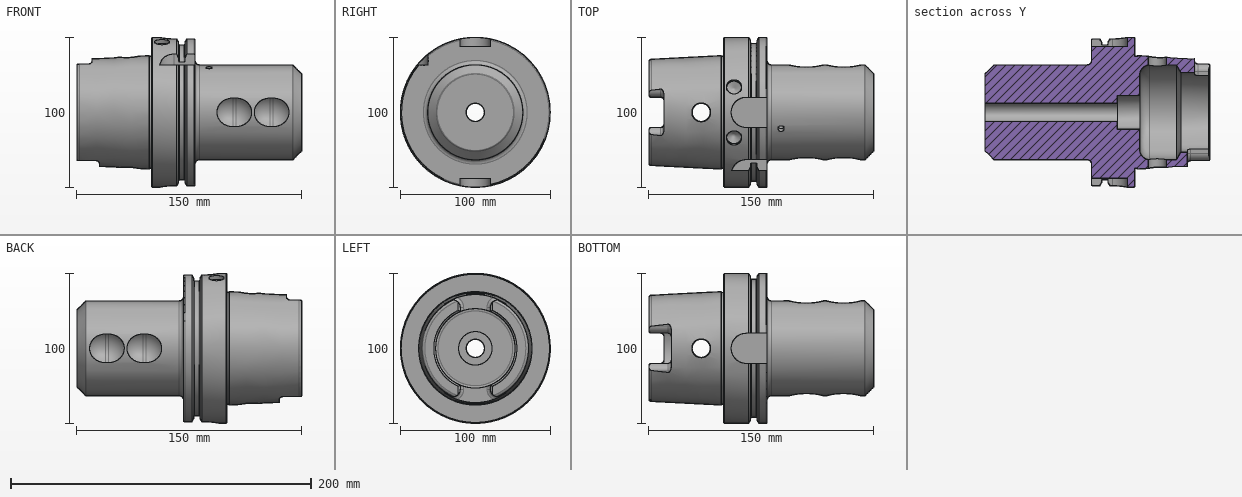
import cadquery as cq
import math


shank_length = 50.0
nose_length = 150 - shank_length
flange_width = 29.0

flange_radius = 100.0 / 2
flange_face_chamfer = 0.6
flange_rear_fillet = 0.9
groove_start = 16.6
groove_end = 23.4
groove_bevel_width = 1.4
groove_bevel_depth = 2.2
groove_radius = 46.0
groove_floor_fillet = 0.5

taper_radius = 75.8 / 2
taper_slope = 1 / 20
shank_end_fillet = 1.8
relief_width = 1.8
relief_depth = 0.5

nose_radius = 63.5 / 2
nose_fillet = 2.8
nose_chamfer = 6.0
nose_edge_fillet = 0.6

mouth_radius = 55.5 / 2
mouth_chamfer_length = 0.9
bore_radius = 53.0 / 2
bore_depth = 19.4
cavity_radius = 63 / 2
cavity_cone_angle = 60
cavity_floor_fillet = 6.6
cavity_floor_x = -3.3
thread_hole_radius = 22.4 / 2
thread_hole_depth = 15.0
through_hole_radius = 12 / 2

notch_half_width = 10.0
notch_straight_height = 27.3
notch_round_radius = 5.0
notch_floor_fillet = 2.2
notch_depth_top = 10.0
notch_depth_bottom = 15.0
notch_mouth_chamfer = 1.4

cross_hole_diameter = 12.0
cross_hole_x = -15.0
cross_hole_chamfer = 0.3

key_slot_radius = 10.0
key_slot_center_x = 15.0
key_slot_floor = 44.0
corner_notch_offset = 31.5

drill_point_angle = 118
flange_hole_diameter = 10.0
flange_hole_x = 6.9
flange_hole_bottom_radius = 47.1
hole_angle = 20
nose_hole_diameter = 4.0
nose_hole_x = 38.2
nose_hole_bottom_radius = 26.1

recess_ball_radius = 25.0 / 2
recess_ball_offset = 38.4
recess_flat = 2.0
recess_positions = (55.0, 80.0)

half_arc = math.sqrt(0.5)

pick_margin = 0.2


def revolve_about_x(profile):
    """Turn a closed profile drawn as (x, radius) about the X axis."""
    return profile.close().revolve(360, (0, 0, 0), (1, 0, 0))


def circles_between(low_x, high_x):
    """Select the circular edges that are centered on the X axis in a stretch of it."""
    return cq.selectors.BoxSelector(
        (low_x - pick_margin, -pick_margin, -pick_margin),
        (high_x + pick_margin, pick_margin, pick_margin),
    )


def box_between(low, high):
    """Box given by two opposite corners."""
    size = [b - a for a, b in zip(low, high)]
    return cq.Workplane("XY").box(*size, centered=False).translate(low)


def turned_body():
    """Outer shape: tapered shank, grooved flange and cylindrical nose."""
    tip_radius = taper_radius - taper_slope * (shank_length - relief_width)
    tip_center_x = -shank_length + shank_end_fillet
    tip_center_r = tip_radius - shank_end_fillet
    fillet_center_x = flange_width + nose_fillet
    fillet_center_r = nose_radius + nose_fillet
    rear_setback = flange_rear_fillet * (1 - half_arc)
    bevel_radius = flange_radius - groove_bevel_depth
    profile = (
        cq.Workplane("XY")
        .moveTo(-shank_length, 0)
        .lineTo(-shank_length, tip_center_r)
        .threePointArc(
            (tip_center_x - shank_end_fillet * half_arc, tip_center_r + shank_end_fillet * half_arc),
            (tip_center_x, tip_radius),
        )
        .lineTo(-relief_width, taper_radius)
        .lineTo(-relief_width + relief_depth, taper_radius - relief_depth)
        .lineTo(0, taper_radius - relief_depth)
        .lineTo(0, flange_radius - flange_face_chamfer)
        .lineTo(flange_face_chamfer, flange_radius)
        .lineTo(groove_start, flange_radius)
        .lineTo(groove_start + groove_bevel_width, bevel_radius)
        .lineTo(groove_start + groove_bevel_width, groove_radius)
        .lineTo(groove_end - groove_bevel_width, groove_radius)
        .lineTo(groove_end - groove_bevel_width, bevel_radius)
        .lineTo(groove_end, flange_radius)
        .lineTo(flange_width - flange_rear_fillet, flange_radius)
        .threePointArc(
            (flange_width - rear_setback, flange_radius - rear_setback),
            (flange_width, flange_radius - flange_rear_fillet),
        )
        .lineTo(flange_width, fillet_center_r)
        .threePointArc(
            (fillet_center_x - nose_fillet * half_arc, fillet_center_r - nose_fillet * half_arc),
            (fillet_center_x, nose_radius),
        )
        .lineTo(nose_length - nose_chamfer, nose_radius)
        .lineTo(nose_length, nose_radius - nose_chamfer)
        .lineTo(nose_length, 0)
    )
    body = revolve_about_x(profile)
    nose_chamfer_edges = circles_between(nose_length - nose_chamfer, nose_length)
    body = body.edges(nose_chamfer_edges).fillet(nose_edge_fillet)
    groove_edges = circles_between(groove_start, groove_end)
    groove_floor = body.edges(groove_edges).edges(cq.selectors.RadiusNthSelector(0))
    return groove_floor.fillet(groove_floor_fillet)


def clamping_cavity():
    """Stepped space inside: bore, undercut, threaded-hole step and through hole."""
    bore_end = -shank_length + bore_depth
    cone_length = (cavity_radius - bore_radius) / math.tan(math.radians(cavity_cone_angle))
    floor_center_x = cavity_floor_x - cavity_floor_fillet
    floor_center_r = cavity_radius - cavity_floor_fillet
    arc_rise = cavity_floor_fillet * half_arc
    profile = (
        cq.Workplane("XY")
        .moveTo(-shank_length, 0)
        .lineTo(-shank_length, mouth_radius)
        .lineTo(-shank_length + mouth_chamfer_length, bore_radius)
        .lineTo(bore_end, bore_radius)
        .lineTo(bore_end + cone_length, cavity_radius)
        .lineTo(floor_center_x, cavity_radius)
        .threePointArc(
            (floor_center_x + arc_rise, floor_center_r + arc_rise),
            (cavity_floor_x, floor_center_r),
        )
        .lineTo(cavity_floor_x, thread_hole_radius)
        .lineTo(cavity_floor_x + thread_hole_depth, thread_hole_radius)
        .lineTo(cavity_floor_x + thread_hole_depth, through_hole_radius)
        .lineTo(nose_length, through_hole_radius)
        .lineTo(nose_length, 0)
    )
    return revolve_about_x(profile)


def drive_notch(depth):
    """Notch on the +Z side: straight walls that round outward near the taper."""
    inner_z = bore_radius / 2
    shoulder_y = notch_half_width + notch_round_radius
    shoulder_z = notch_straight_height + notch_round_radius
    setback = notch_round_radius * (1 - half_arc)
    arc_mid = (notch_half_width + setback, shoulder_z - setback)
    outer = flange_radius
    floor_x = -shank_length + depth
    cutter = (
        cq.Workplane("YZ")
        .moveTo(-notch_half_width, inner_z)
        .lineTo(notch_half_width, inner_z)
        .lineTo(notch_half_width, notch_straight_height)
        .threePointArc(arc_mid, (shoulder_y, shoulder_z))
        .lineTo(outer, shoulder_z)
        .lineTo(outer, outer)
        .lineTo(-outer, outer)
        .lineTo(-outer, shoulder_z)
        .lineTo(-shoulder_y, shoulder_z)
        .threePointArc((-arc_mid[0], arc_mid[1]), (-notch_half_width, notch_straight_height))
        .close()
        .extrude(depth)
        .translate((-shank_length, 0, 0))
    )
    wall_zone = cq.selectors.BoxSelector(
        (floor_x - pick_margin, -outer + pick_margin, inner_z + pick_margin),
        (floor_x + pick_margin, outer - pick_margin, outer - pick_margin),
    )
    cutter = cutter.edges(wall_zone).fillet(notch_floor_fillet)
    mouth = (
        cq.Workplane("XY", origin=(0, 0, inner_z))
        .moveTo(-shank_length, -notch_half_width - notch_mouth_chamfer)
        .lineTo(-shank_length, notch_half_width + notch_mouth_chamfer)
        .lineTo(-shank_length + mouth_chamfer_length, notch_half_width)
        .lineTo(-shank_length + mouth_chamfer_length, -notch_half_width)
        .close()
        .extrude(outer - inner_z)
    )
    return cutter.union(mouth)


def drill_cross_hole(body):
    """Drill the shank through along Z and break both outer rims."""
    drill = (
        cq.Workplane("XY", origin=(cross_hole_x, 0, 0))
        .circle(cross_hole_diameter / 2)
        .extrude(flange_radius, both=True)
    )
    rim_zone = cross_hole_diameter / 2 + cross_hole_chamfer
    body = body.cut(drill)
    for low_z, high_z in ((cavity_radius, flange_radius), (-flange_radius, -cavity_radius)):
        rim = cq.selectors.BoxSelector(
            (cross_hole_x - rim_zone, -rim_zone, low_z),
            (cross_hole_x + rim_zone, rim_zone, high_z),
            boundingbox=True,
        )
        body = body.edges(rim).chamfer(cross_hole_chamfer)
    return body


def round_ended_slot(center_y, floor_z):
    """Slot cut down to floor_z, round toward the shank and open toward the nose."""
    end = (
        cq.Workplane("XY", origin=(key_slot_center_x, center_y, floor_z))
        .circle(key_slot_radius)
        .extrude(flange_radius)
    )
    channel = box_between(
        (key_slot_center_x, center_y - key_slot_radius, floor_z),
        (flange_width, center_y + key_slot_radius, floor_z + flange_radius),
    )
    return end.union(channel)


def radial_hole(x, angle, diameter, bottom_radius):
    """Blind drilled hole with a conical point, turned about X from +Z toward +Y."""
    radius = diameter / 2
    point = radius / math.tan(math.radians(drill_point_angle / 2))
    return (
        cq.Workplane("XZ")
        .moveTo(0, bottom_radius - point)
        .lineTo(radius, bottom_radius)
        .lineTo(radius, flange_radius + radius)
        .lineTo(0, flange_radius + radius)
        .close()
        .revolve(360, (0, 0, 0), (0, 1, 0))
        .translate((x, 0, 0))
        .rotate((0, 0, 0), (1, 0, 0), -angle)
    )


def side_recess(x, side):
    """Two half balls joined by a short cylinder, sunk into the nose at side * Y."""
    start_x = x - recess_flat / 2
    end_x = x + recess_flat / 2
    arc_rise = recess_ball_radius * half_arc
    capsule = revolve_about_x(
        cq.Workplane("XY")
        .moveTo(start_x - recess_ball_radius, 0)
        .threePointArc((start_x - arc_rise, arc_rise), (start_x, recess_ball_radius))
        .lineTo(end_x, recess_ball_radius)
        .threePointArc((end_x + arc_rise, arc_rise), (end_x + recess_ball_radius, 0))
    )
    return capsule.translate((0, side * recess_ball_offset, 0))


result = turned_body().cut(clamping_cavity())

result = result.cut(drive_notch(notch_depth_top))
result = result.cut(drive_notch(notch_depth_bottom).rotate((0, 0, 0), (1, 0, 0), 180))
result = drill_cross_hole(result)

key_slot = round_ended_slot(0, key_slot_floor)
result = result.cut(key_slot)
result = result.cut(key_slot.rotate((0, 0, 0), (1, 0, 0), 180))
result = result.cut(round_ended_slot(-corner_notch_offset - key_slot_radius, corner_notch_offset))
for angle in (-hole_angle, hole_angle):
    result = result.cut(
        radial_hole(flange_hole_x, angle, flange_hole_diameter, flange_hole_bottom_radius)
    )

result = result.cut(
    radial_hole(nose_hole_x, -hole_angle, nose_hole_diameter, nose_hole_bottom_radius)
)
for position in recess_positions:
    for side in (-1, 1):
        result = result.cut(side_recess(position, side))